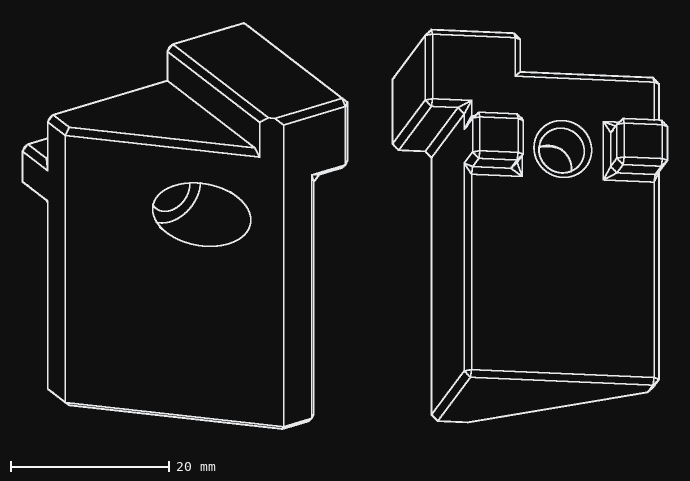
import cadquery as cq

body_width = 25.0
body_depth = 25.0
body_height = 45.0
edge_chamfer = 0.8

shelf_height = 40.0
block_front = 17.8
lip_overhang = 5.0
lip_bottom = 35.0
lip_back = body_depth + lip_overhang

front_flat = 5.0
slope_run = body_width - front_flat

peg_length = 6.0
peg_width = 6.5
peg_height = 6.0
peg_centre_z = 30.0
peg_positions = (0.0, body_depth - peg_width)

hole_y = body_depth / 2
hole_z = peg_centre_z
hole_diameter = 5.8
counterbore_diameter = 9.0
counterbore_floor = 10.0

tolerance = 1e-3


def near(a, b):
    return abs(a - b) < tolerance


def make_body():
    """Stepped side profile extruded along X, with its front right corner cut off at 45 degrees."""
    profile = [
        (0, 0),
        (body_depth, 0),
        (body_depth, lip_bottom),
        (lip_back, lip_bottom),
        (lip_back, body_height),
        (block_front, body_height),
        (block_front, shelf_height),
        (0, shelf_height),
    ]
    block = cq.Workplane("YZ").polyline(profile).close().extrude(body_width)
    corner = [(front_flat, 0), (body_width, 0), (body_width, slope_run)]
    return block.cut(cq.Workplane("XY").polyline(corner).close().extrude(body_height))


def make_peg(y_start):
    """Rectangular peg standing out from the -X face."""
    peg = cq.Workplane("XY").box(peg_length, peg_width, peg_height, centered=False)
    return peg.translate((-peg_length, y_start, peg_centre_z - peg_height / 2))


def is_sharp(edge):
    """True for the inside edges and for the edges of the slope that are not bevelled."""
    centre = edge.Center()
    upright = edge.BoundingBox().zlen > tolerance
    on_slope = near(centre.x - centre.y, front_flat)
    slope_edge = on_slope and (upright or near(centre.z, body_height))
    shelf_root = near(centre.y, block_front) and near(centre.z, shelf_height)
    lip_root = near(centre.y, body_depth) and near(centre.z, lip_bottom)
    within_peg_height = abs(centre.z - peg_centre_z) < peg_height / 2 + tolerance
    within_side_walls = tolerance < centre.y < body_depth - tolerance
    peg_root = near(centre.x, 0) and within_peg_height and within_side_walls
    return slope_edge or shelf_root or lip_root or peg_root


def bevel_outside_edges(solid):
    edges = [edge for edge in solid.Edges() if not is_sharp(edge)]
    return cq.Workplane(solid.chamfer(edge_chamfer, None, edges))


def make_polyhedron(faces):
    """Solid bounded by flat faces, each given as a list of corner points."""
    sides = []
    for corners in faces:
        outline = cq.Wire.makePolygon([cq.Vector(*corner) for corner in corners], close=True)
        sides.append(cq.Face.makeFromWires(outline))
    return cq.Workplane(cq.Solid.makeSolid(cq.Shell.makeShell(sides)))


def make_peg_root_fill():
    """Sloping fill around the root of the front peg, running to a point at the bevelled front wall."""
    def corners_toward(direction):
        """Fill corners on the upper (+1) or lower (-1) half of the peg."""
        peg_face = peg_centre_z + direction * peg_height / 2
        bevel_end = peg_face - direction * edge_chamfer
        root_end = peg_face + direction * edge_chamfer
        return {
            "front": (-edge_chamfer, 0, bevel_end),
            "front_bevel": (-edge_chamfer, edge_chamfer, peg_face),
            "side_bevel": (-edge_chamfer, peg_width - edge_chamfer, peg_face),
            "side": (-edge_chamfer, peg_width, bevel_end),
            "root_front": (0, edge_chamfer, root_end),
            "root_side": (0, peg_width + edge_chamfer, root_end),
            "tip": (edge_chamfer, 0, bevel_end),
        }

    up = corners_toward(1)
    down = corners_toward(-1)
    faces = []
    for half in (up, down):
        faces.append([half[name] for name in ("front_bevel", "root_front", "root_side", "side_bevel")])
        faces.append([half[name] for name in ("side_bevel", "root_side", "side")])
        faces.append([half[name] for name in ("front_bevel", "root_front", "tip")])
        faces.append([half[name] for name in ("front_bevel", "tip", "front")])
    mid_height_loop = ("side", "root_side", "root_front", "tip", "front")
    for first, second in zip(mid_height_loop, mid_height_loop[1:]):
        faces.append([up[first], up[second], down[second], down[first]])
    outer_section = ("front", "front_bevel", "side_bevel", "side")
    faces.append([up[name] for name in outer_section] + [down[name] for name in reversed(outer_section)])
    return make_polyhedron(faces)


def make_lip_root_fill():
    """Triangular fill under the rear lip, running to a point at both bevelled ends."""
    def end_corners(tip_x, section_x):
        tip = (tip_x, body_depth - edge_chamfer, lip_bottom + edge_chamfer)
        root = (section_x, body_depth, lip_bottom)
        wall = (section_x, body_depth, lip_bottom - edge_chamfer)
        lip = (section_x, body_depth + edge_chamfer, lip_bottom)
        return tip, root, wall, lip

    faces = []
    left = end_corners(0, edge_chamfer)
    right = end_corners(body_width, body_width - edge_chamfer)
    for tip, root, wall, lip in (left, right):
        faces += [[tip, root, wall], [tip, wall, lip], [tip, lip, root]]
    for first, second in ((1, 2), (2, 3), (3, 1)):
        faces.append([left[first], left[second], right[second], right[first]])
    return make_polyhedron(faces)


def make_hole_cutter():
    """Through hole with a countersunk mouth on the -X face and a counterbore from the sloping face."""
    hole_radius = hole_diameter / 2
    counterbore_radius = counterbore_diameter / 2
    half_section = [
        (0, 0),
        (0, hole_radius + edge_chamfer),
        (edge_chamfer, hole_radius),
        (counterbore_floor, hole_radius),
        (counterbore_floor, counterbore_radius),
        (body_width, counterbore_radius),
        (body_width, 0),
    ]
    cutter = cq.Workplane("XY").polyline(half_section).close().revolve(360, (0, 0, 0), (1, 0, 0))
    return cutter.translate((0, hole_y, hole_z))


part = make_body()
for peg_y in peg_positions:
    part = part.union(make_peg(peg_y))
part = bevel_outside_edges(part.clean().val())

front_root_fill = make_peg_root_fill()
rear_root_fill = front_root_fill.mirror("XZ", (0, body_depth / 2, 0))
for fill in (front_root_fill, rear_root_fill, make_lip_root_fill()):
    part = part.union(fill)

result = cq.Workplane(part.cut(make_hole_cutter()).solids().val())